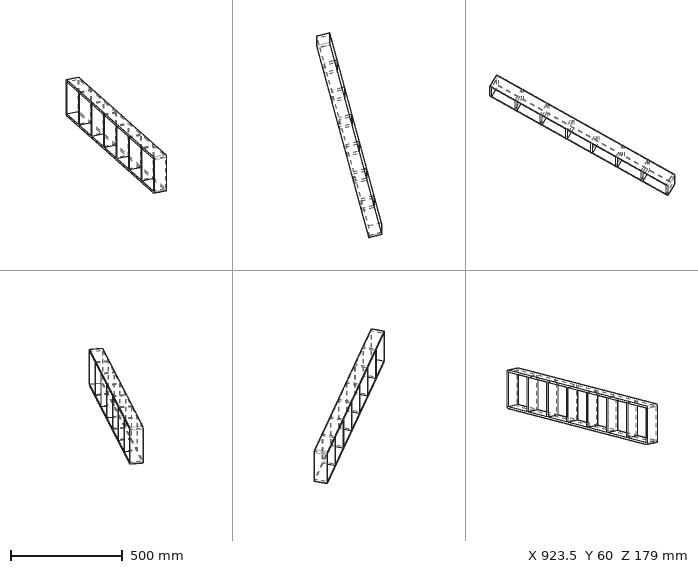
import cadquery as cq

length = 923.5
depth = 60.0
height = 179.0

window_count = 7
window_width = 120.0
wall = 10.0
corner_radius = 10.0

window_height = height - 2 * wall
rib = (length - 2 * wall - window_count * window_width) / (window_count - 1)
window_pitch = window_width + rib


def frame_block():
    """Solid bar with its four long-face corners rounded."""
    block = cq.Workplane("XY").box(length, depth, height)
    return block.edges("|Y").fillet(corner_radius)


def window_cutters():
    """Rectangular prisms that open the windows through the full depth."""
    return (
        cq.Workplane("XY")
        .rarray(window_pitch, 9, window_count, 1)
        .box(window_width, depth, window_height)
    )


result = frame_block().cut(window_cutters())